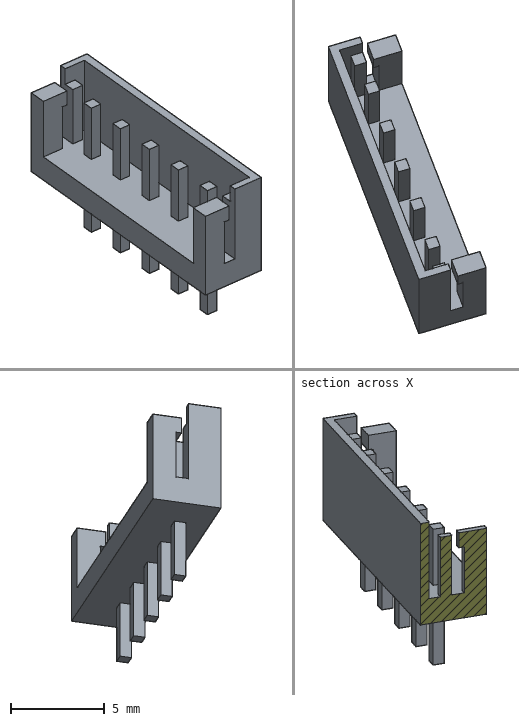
import cadquery as cq

LENGTH = 15.0
DEPTH = 3.8
HEIGHT = 6.0
FLOOR_THICKNESS = 1.5

PIN_COUNT = 5
PIN_PITCH = 2.5
PIN_SIZE = 0.64
PIN_TOP = 4.8
PIN_TAIL = 3.2

BACK_TO_PIN_AXIS = 1.62
BACK_WALL = 0.5
SIDE_WALL = 0.4
SIDE_WALL_DEPTH = 1.8

POST_WIDTH = 1.05
POST_TOP = 5.08
POST_DEPTH = 1.3
LIP_OVERHANG = 0.3
LIP_HEIGHT = 0.9

RIB_DEPTH = 0.67
RIB_TOP = 5.0

BACK_Y = BACK_TO_PIN_AXIS
FRONT_Y = BACK_Y - DEPTH
SIDE_WALL_FRONT_Y = BACK_Y - SIDE_WALL_DEPTH
HALF_LENGTH = LENGTH / 2


def block(x_range, y_range, z_range):
    """Axis-aligned block given by its (low, high) limits on each axis."""
    low, high = zip(x_range, y_range, z_range)
    size = [end - start for start, end in zip(low, high)]
    return cq.Workplane("XY").box(*size, centered=False).translate(low)


def base_and_walls():
    """Floor slab with the back wall and two side walls standing on it."""
    floor = block((-HALF_LENGTH, HALF_LENGTH), (FRONT_Y, BACK_Y), (0, FLOOR_THICKNESS))
    walls = block((-HALF_LENGTH, HALF_LENGTH), (SIDE_WALL_FRONT_Y, BACK_Y), (0, HEIGHT))
    inner_half_length = HALF_LENGTH - SIDE_WALL
    cavity = block(
        (-inner_half_length, inner_half_length),
        (SIDE_WALL_FRONT_Y, BACK_Y - BACK_WALL),
        (FLOOR_THICKNESS, HEIGHT),
    )
    return floor.union(walls.cut(cavity))


def left_post():
    """Corner post at the -X end, its lip pointing toward the back wall."""
    x_range = (-HALF_LENGTH, -HALF_LENGTH + POST_WIDTH)
    post_back_y = FRONT_Y + POST_DEPTH
    post = block(x_range, (FRONT_Y, post_back_y), (0, POST_TOP))
    lip = block(x_range, (FRONT_Y, post_back_y + LIP_OVERHANG), (POST_TOP - LIP_HEIGHT, POST_TOP))
    return post.union(lip)


def left_rib():
    """Rib at the -X end, as far into the cavity as the corner post."""
    return block(
        (-HALF_LENGTH, -HALF_LENGTH + POST_WIDTH),
        (SIDE_WALL_FRONT_Y, SIDE_WALL_FRONT_Y + RIB_DEPTH),
        (0, RIB_TOP),
    )


def pin(x):
    """Square pin running through the floor at the given X."""
    half = PIN_SIZE / 2
    return block((x - half, x + half), (-half, half), (-PIN_TAIL, PIN_TOP))


left_end = left_post().union(left_rib())
result = base_and_walls().union(left_end).union(left_end.mirror("YZ"))

first_pin_x = -PIN_PITCH * (PIN_COUNT - 1) / 2
for index in range(PIN_COUNT):
    result = result.union(pin(first_pin_x + index * PIN_PITCH))